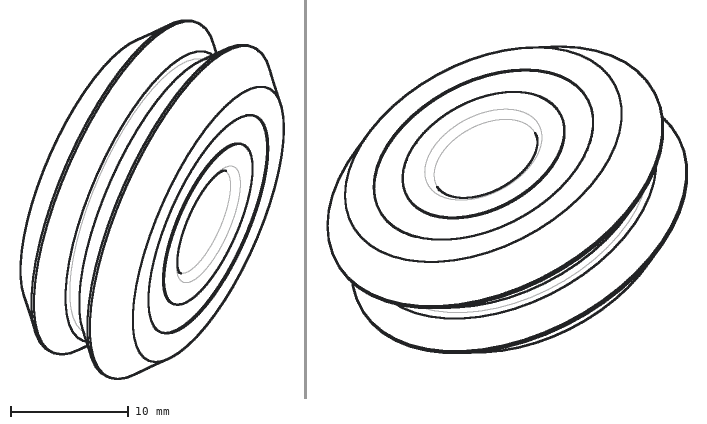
import cadquery as cq

rim_radius = 15.35
half_width = 5.55

crest_offset = 2.77
crest_half_width = 0.12
face_radius = rim_radius - (half_width - crest_offset - crest_half_width)

groove_half_width = 0.68
groove_floor_radius = 12.02
groove_wall_radius = groove_floor_radius + groove_half_width
groove_edge_radius = rim_radius - (crest_offset - crest_half_width - groove_half_width)

bore_radius = 9.53 / 2
bore_fillet = 0.6

recess_inner_radius = 14.85 / 2
recess_outer_radius = 20.13 / 2
recess_depth = 0.12


def wheel_body():
    """Bored double-V wheel; the outline is axial position against radius."""
    left_side = [
        (-half_width, bore_radius),
        (-half_width, face_radius),
        (-crest_offset - crest_half_width, rim_radius),
        (-crest_offset + crest_half_width, rim_radius),
        (-groove_half_width, groove_edge_radius),
        (-groove_half_width, groove_wall_radius),
    ]
    right_side = [(-x, radius) for x, radius in reversed(left_side)]
    return (
        cq.Workplane("XY")
        .polyline(left_side)
        .threePointArc((0, groove_floor_radius), right_side[0])
        .polyline(right_side[1:], includeCurrent=True)
        .close()
        .revolve(360, (0, 0, 0), (1, 0, 0))
    )


def face_recess(start):
    """Ring that spans one recess, starting at the given axial position."""
    return (
        cq.Workplane("YZ", origin=(start, 0, 0))
        .circle(recess_outer_radius)
        .circle(recess_inner_radius)
        .extrude(recess_depth)
    )


result = wheel_body()

bore_mouths = cq.selectors.RadiusNthSelector(0)
result = result.faces("<X or >X").edges(bore_mouths).fillet(bore_fillet)

for recess_start in (-half_width, half_width - recess_depth):
    result = result.cut(face_recess(recess_start))